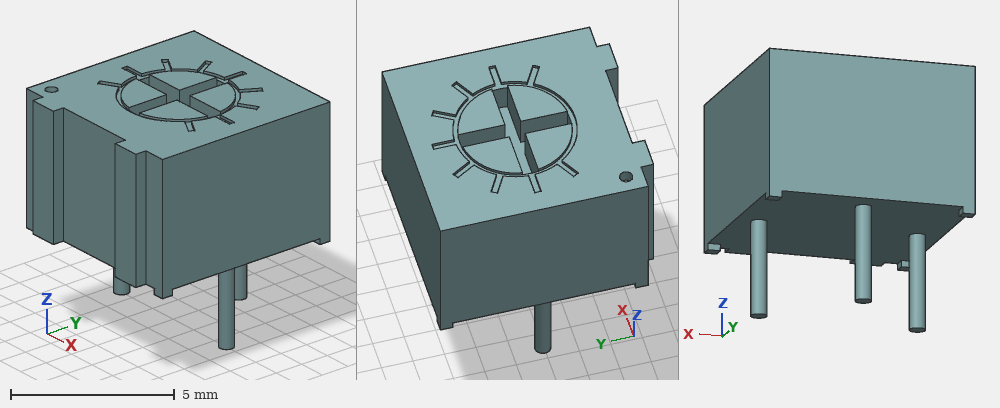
import cadquery as cq


HOUSING_SIDE = 6.6
HOUSING_HEIGHT = 4.5

RIB_WIDTH = 1.0
RIB_PROJECTION = 0.4
RIB_GAP = 3.0

FOOT_SIDE = 0.4
FOOT_HEIGHT = 0.2

ROTOR_DIAMETER = 3.5
ROTOR_HEIGHT = 1.5
SLOT_WIDTH = 0.5
SLOT_DEPTH = 1.0

RING_DIAMETER = 3.8
MARK_DEPTH = 0.1
TICK_WIDTH = 0.2
TICK_OUTER_RADIUS = 2.6
TICK_COUNT = 9
TICK_STEP = 30.0
FIRST_TICK_ANGLE = -30.0

INDEX_DIAMETER = 0.4
INDEX_DEPTH = 0.4
INDEX_OFFSET = 2.75

PIN_DIAMETER = 0.5
PIN_LENGTH = 3.0
PIN_PITCH = 2.54
PIN_ROW_Y = -0.165
PIN_POSITIONS = [
    (-PIN_PITCH, PIN_ROW_Y),
    (0, PIN_ROW_Y + PIN_PITCH),
    (PIN_PITCH, PIN_ROW_Y),
]


def top_plane():
    """Workplane on the housing's top face, centred on the rotor axis."""
    return cq.Workplane("XY").workplane(offset=HOUSING_HEIGHT)


def make_block():
    """Square block with the two ribs on its -Y side."""
    half_side = HOUSING_SIDE / 2
    rib_inner_x = RIB_GAP / 2
    rib_outer_x = rib_inner_x + RIB_WIDTH
    rib_face_y = -half_side - RIB_PROJECTION
    half_outline = [
        (0, half_side),
        (half_side, half_side),
        (half_side, -half_side),
        (rib_outer_x, -half_side),
        (rib_outer_x, rib_face_y),
        (rib_inner_x, rib_face_y),
        (rib_inner_x, -half_side),
        (0, -half_side),
    ]
    return cq.Workplane("XY").polyline(half_outline).mirrorY().extrude(HOUSING_HEIGHT)


def make_feet():
    """Four square feet flush with the corners of the block."""
    spacing = HOUSING_SIDE - FOOT_SIDE
    return (
        cq.Workplane("XY")
        .rect(spacing, spacing, forConstruction=True)
        .vertices()
        .rect(FOOT_SIDE, FOOT_SIDE)
        .extrude(-FOOT_HEIGHT)
    )


def make_tick(angle):
    """Cutter for one radial tick, running from the rotor axis to its outer end."""
    return (
        top_plane()
        .center(TICK_OUTER_RADIUS / 2, 0)
        .rect(TICK_OUTER_RADIUS, TICK_WIDTH)
        .extrude(-MARK_DEPTH)
        .rotate((0, 0, 0), (0, 0, 1), angle)
    )


def make_housing():
    """Ribbed block on feet, with the rotor bore, dial markings and index hole cut into its top."""
    rotor_bore = top_plane().circle(ROTOR_DIAMETER / 2).extrude(-ROTOR_HEIGHT)
    ring = top_plane().circle(RING_DIAMETER / 2).extrude(-MARK_DEPTH)
    index_hole = (
        top_plane()
        .center(-INDEX_OFFSET, -INDEX_OFFSET)
        .circle(INDEX_DIAMETER / 2)
        .extrude(-INDEX_DEPTH)
    )
    housing = make_block().union(make_feet()).cut(rotor_bore).cut(ring).cut(index_hole)
    for index in range(TICK_COUNT):
        housing = housing.cut(make_tick(FIRST_TICK_ANGLE + index * TICK_STEP))
    return housing


def make_rotor():
    """Round rotor, flush with the housing's top, with a cross slot across its full width."""
    slot = top_plane().rect(ROTOR_DIAMETER, SLOT_WIDTH).extrude(-SLOT_DEPTH)
    cross_slot = slot.union(slot.rotate((0, 0, 0), (0, 0, 1), 90))
    return top_plane().circle(ROTOR_DIAMETER / 2).extrude(-ROTOR_HEIGHT).cut(cross_slot)


def make_pin(x, y):
    """Wire pin standing against the housing's underside."""
    return cq.Workplane("XY").center(x, y).circle(PIN_DIAMETER / 2).extrude(-PIN_LENGTH)


housing = make_housing()
rotor = make_rotor()
pins = [make_pin(x, y) for x, y in PIN_POSITIONS]

result = cq.Compound.makeCompound([housing.val(), rotor.val(), *[pin.val() for pin in pins]])